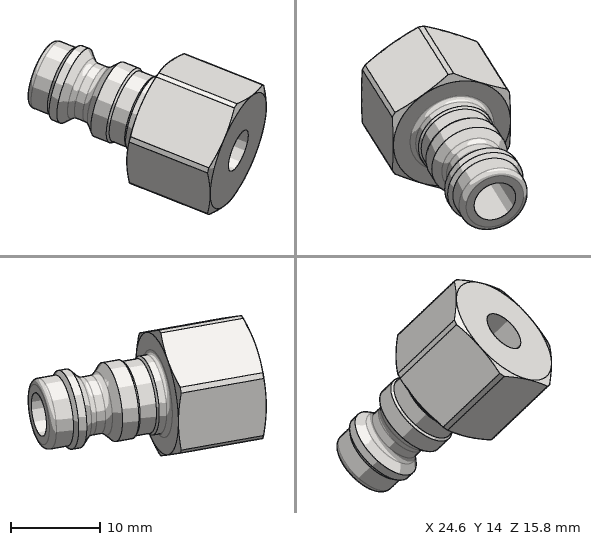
import cadquery as cq
import math

LENGTH = 24.6
HEX_START = 14.1
HEX_SIDES = 6
HEX_FLATS = 14.0
HEX_CORNER_DIA = 15.8
HEX_FACE_DIA = 13.95
HEX_CHAMFER_ANGLE = 20.0
BORE_DIA = 4.95
CONE_ANGLE = math.radians(45)

AXIS_START = (0, 0, 0)
AXIS_END = (1, 0, 0)

TIP_DIA = 8.1
TIP_ROUND = 0.62
COLLAR_DIA = 9.0
NECK_DIA = 6.65
BAND_DIA = 8.5
NECK_ROUND = 1.0
ROOT_ROUND = 0.5

COLLAR_START = 2.65
COLLAR_END = 4.08
SHOULDER_START = 8.35
BAND_START = 10.28
BAND_END = 12.72


def make_plug():
    """Revolved plug whose conical steps all slope at 45 degrees."""
    tip_r = TIP_DIA / 2
    collar_r = COLLAR_DIA / 2
    neck_r = NECK_DIA / 2
    band_r = BAND_DIA / 2
    collar_step = collar_r - tip_r
    band_step = collar_r - band_r

    half_sweep = CONE_ANGLE / 2
    round_length = NECK_ROUND * math.sin(CONE_ANGLE)
    round_top_r = neck_r + NECK_ROUND * (1 - math.cos(CONE_ANGLE))
    mid_length = NECK_ROUND * math.sin(half_sweep)
    mid_r = neck_r + NECK_ROUND * (1 - math.cos(half_sweep))
    cone_length = collar_r - round_top_r
    front_round = COLLAR_END + cone_length
    neck_start = front_round + round_length
    rear_round = SHOULDER_START - cone_length
    neck_end = rear_round - round_length

    quarter_gap = 1 - math.cos(math.pi / 4)
    tip_mid = (TIP_ROUND * quarter_gap, tip_r - TIP_ROUND * quarter_gap)
    root_mid = (HEX_START - ROOT_ROUND * quarter_gap, collar_r + ROOT_ROUND * quarter_gap)

    profile = (
        cq.Workplane("XY")
        .lineTo(0, tip_r - TIP_ROUND)
        .threePointArc(tip_mid, (TIP_ROUND, tip_r))
        .lineTo(COLLAR_START, tip_r)
        .lineTo(COLLAR_START + collar_step, collar_r)
        .lineTo(COLLAR_END, collar_r)
        .lineTo(front_round, round_top_r)
        .threePointArc((neck_start - mid_length, mid_r), (neck_start, neck_r))
        .lineTo(neck_end, neck_r)
        .threePointArc((neck_end + mid_length, mid_r), (rear_round, round_top_r))
        .lineTo(SHOULDER_START, collar_r)
        .lineTo(BAND_START, collar_r)
        .lineTo(BAND_START + band_step, band_r)
        .lineTo(BAND_END - band_step, band_r)
        .lineTo(BAND_END, collar_r)
        .lineTo(HEX_START - ROOT_ROUND, collar_r)
        .threePointArc(root_mid, (HEX_START, collar_r + ROOT_ROUND))
        .lineTo(LENGTH, collar_r + ROOT_ROUND)
        .lineTo(LENGTH, 0)
        .close()
    )
    return profile.revolve(360, AXIS_START, AXIS_END)


def make_hexagon():
    """Hexagon with flats facing Y, its corners and both ends turned down."""
    across_corners = HEX_FLATS / math.cos(math.pi / HEX_SIDES)
    prism = (
        cq.Workplane("YZ", origin=(HEX_START, 0, 0))
        .transformed(rotate=(0, 0, 90))
        .polygon(HEX_SIDES, across_corners)
        .extrude(LENGTH - HEX_START)
    )

    corner_r = HEX_CORNER_DIA / 2
    face_r = HEX_FACE_DIA / 2
    chamfer = (corner_r - face_r) * math.tan(math.radians(HEX_CHAMFER_ANGLE))
    envelope = (
        cq.Workplane("XY")
        .moveTo(HEX_START, 0)
        .lineTo(HEX_START, face_r)
        .lineTo(HEX_START + chamfer, corner_r)
        .lineTo(LENGTH - chamfer, corner_r)
        .lineTo(LENGTH, face_r)
        .lineTo(LENGTH, 0)
        .close()
        .revolve(360, AXIS_START, AXIS_END)
    )
    return prism.intersect(envelope)


def make_bore():
    """Straight bore through the whole part."""
    return cq.Workplane("YZ").circle(BORE_DIA / 2).extrude(LENGTH)


result = make_plug().union(make_hexagon()).cut(make_bore())